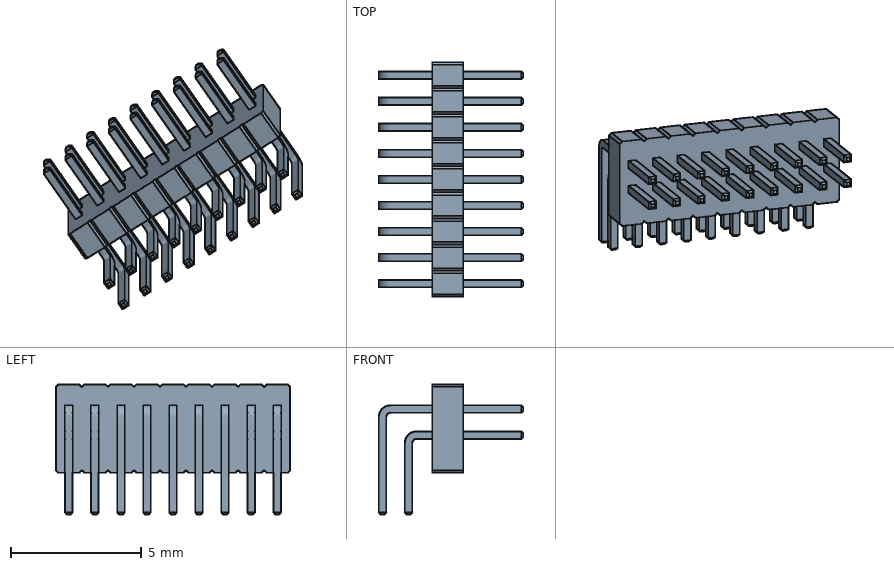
import cadquery as cq

header_length = 9.0
pins_per_row = 9
row_count = 2
body_width = 1.2
body_height = 3.4
body_chamfer = 0.1
pin_size = 0.3
tip_chamfer = 0.08
bend_inner_radius = 0.15
upper_pin_height = 2.45
overall_width = 5.55
tail_reach = 2.3
leg_drop = 1.6

pitch = header_length / pins_per_row
bend_outer_radius = bend_inner_radius + pin_size
tail_tip_x = body_width + tail_reach
outer_leg_x = tail_tip_x - overall_width + pin_size / 2
position_starts = [-header_length / 2 + index * pitch for index in range(pins_per_row)]


def make_body_segment(y_start):
    """One pin position of the housing, with its four long edges chamfered."""
    return (
        cq.Workplane("XY")
        .box(body_width, pitch, body_height, centered=False)
        .edges("|X")
        .chamfer(body_chamfer)
        .translate((0, y_start, 0))
    )


def make_bent_pin(y_centre, row):
    """Square wire bent 90 degrees; row 0 is the upper, outer row."""
    leg_left = outer_leg_x + row * pitch - pin_size / 2
    leg_right = leg_left + pin_size
    top = upper_pin_height - row * pitch + pin_size / 2
    underside = top - pin_size
    diagonal = 0.5 ** 0.5
    bend_x = leg_left + bend_outer_radius
    bend_z = top - bend_outer_radius
    outer_middle = (bend_x - bend_outer_radius * diagonal, bend_z + bend_outer_radius * diagonal)
    inner_middle = (bend_x - bend_inner_radius * diagonal, bend_z + bend_inner_radius * diagonal)
    pin = (
        cq.Workplane("XZ")
        .moveTo(leg_left, -leg_drop)
        .lineTo(leg_left, bend_z)
        .threePointArc(outer_middle, (bend_x, top))
        .lineTo(tail_tip_x, top)
        .lineTo(tail_tip_x, underside)
        .lineTo(bend_x, underside)
        .threePointArc(inner_middle, (leg_right, bend_z))
        .lineTo(leg_right, -leg_drop)
        .close()
        .extrude(pin_size / 2, both=True)
    )
    pin = pin.faces("<Z").chamfer(tip_chamfer)
    pin = pin.faces(">X").chamfer(tip_chamfer)
    return pin.translate((0, y_centre, 0))


result = make_body_segment(position_starts[0])
for y_start in position_starts[1:]:
    result = result.union(make_body_segment(y_start))
result = result.clean()

for y_start in position_starts:
    for row in range(row_count):
        result = result.union(make_bent_pin(y_start + pitch / 2, row))